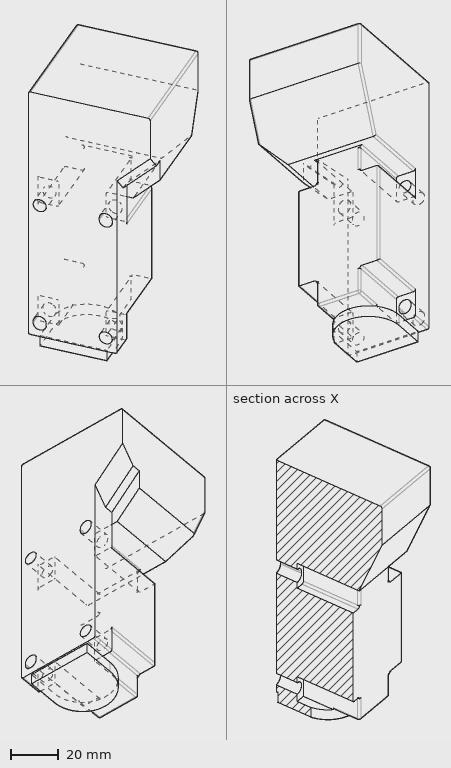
import cadquery as cq
import math

height = 128.0
head_size = 55.0
edge_radius = 1.0

shank_size = 40.0
shank_bottom = 5.2
shank_join = 89.6

head_bottom = 78.0
head_lip = 43.0
back_slope_top = 107.8
overhang = head_size - shank_size

flange_thickness = 11.0
recess_depth = 9.3
recess_height = 12.8

front_slope_top = 107.8
bevel_drop = 8.0
bevel_depth = 6.9

hole_diameter = 5.9
slot_length = 6.8
hole_inset = 5.1
hole_low = 12.0
hole_high = 71.5

boss_radius = 15.1
boss_front = 0.8


def make_head():
    """Square block with a flat lip and a sloped face under its back."""
    profile = [
        (0, height),
        (head_size, height),
        (head_size, back_slope_top),
        (head_lip, head_bottom),
        (0, head_bottom),
    ]
    block = cq.Workplane("YZ").polyline(profile).close().extrude(head_size)
    top_back_edge = cq.selectors.NearestToPointSelector((head_size / 2, head_size, height))
    softened = block.faces("<X or >X").edges("not <Y").add(block.edges(top_back_edge))
    return softened.fillet(edge_radius)


def make_overhang_cut():
    """Prism that runs up at 45 degrees and shapes the right underside of the head."""
    slope_start = front_slope_top - overhang
    bevel_end = slope_start - bevel_drop
    underside = head_bottom - (head_lip - shank_size)
    lowest = head_bottom - 2 * overhang
    section = [
        (0, slope_start),
        (bevel_depth, bevel_end),
        (flange_thickness, bevel_end),
        (flange_thickness, underside),
        (head_size, underside),
        (head_size, lowest),
        (0, lowest),
    ]
    corners = [cq.Vector(shank_size, y, z) for y, z in section]
    wire = cq.Wire.makePolygon(corners, close=True)
    prism = cq.Solid.extrudeLinear(wire, [], cq.Vector(overhang, 0, overhang))
    return cq.Workplane(obj=prism)


def make_shank():
    """Square column, softened along its back corners and its lower side edges."""
    column_height = shank_join - shank_bottom
    column = cq.Workplane("XY", origin=(0, 0, shank_bottom))
    column = column.box(shank_size, shank_size, column_height, centered=False)
    return column.edges("(|Z and >Y) or (|Y and <Z)").fillet(edge_radius)


def make_recess(bottom, top):
    """Cutter for a left-hand recess: rounded mouth edges, floor corners and rear floor edge."""
    r = edge_radius
    s = r * math.sqrt(0.5)
    floor = recess_depth
    recess = (
        cq.Workplane("XZ", origin=(0, flange_thickness, 0))
        .moveTo(0, bottom - r)
        .threePointArc((r - s, bottom - r + s), (r, bottom))
        .lineTo(floor - r, bottom)
        .threePointArc((floor - r + s, bottom + r - s), (floor, bottom + r))
        .lineTo(floor, top - r)
        .threePointArc((floor - r + s, top - r + s), (floor - r, top))
        .lineTo(r, top)
        .threePointArc((r - s, top + r - s), (0, top + r))
        .close()
        .extrude(flange_thickness - shank_size)
    )
    rear_edge_rounding = (
        cq.Workplane("XY", origin=(0, 0, bottom + r))
        .moveTo(floor, shank_size)
        .lineTo(floor + r, shank_size)
        .threePointArc((floor + r - s, shank_size - r + s), (floor, shank_size - r))
        .close()
        .extrude(top - bottom - 2 * r)
    )
    return recess.union(rear_edge_rounding)


def cut_recesses(column):
    """Cut a pair of recesses under the head and a pair open at the bottom, then round the bottom edge."""
    open_bottom = shank_bottom - 2 * edge_radius
    for bottom, top in (
        (open_bottom, shank_bottom + recess_height),
        (head_bottom - recess_height, head_bottom),
    ):
        left = make_recess(bottom, top)
        right = left.mirror("YZ").translate((shank_size, 0, 0))
        column = column.cut(left).cut(right)
    rear_bottom_edge = cq.selectors.NearestToPointSelector((shank_size / 2, shank_size, shank_bottom))
    return column.edges(rear_bottom_edge).fillet(edge_radius)


def make_boss_prism(prism_height):
    center_x = shank_size / 2
    center_y = boss_front + boss_radius
    left = center_x - boss_radius
    right = center_x + boss_radius
    return (
        cq.Workplane("XY")
        .moveTo(left, boss_front)
        .lineTo(right, boss_front)
        .lineTo(right, center_y)
        .threePointArc((center_x, center_y + boss_radius), (left, center_y))
        .close()
        .extrude(prism_height)
    )


def make_boss():
    """Boss with a core that fills the rounded floor edges of the low recesses where it crosses them."""
    core_width = shank_size - 2 * recess_depth
    core_height = shank_bottom + edge_radius
    core_space = (
        cq.Workplane("XY", origin=(recess_depth, 0, 0))
        .box(core_width, shank_size, core_height, centered=False)
    )
    core = make_boss_prism(core_height).intersect(core_space)
    return make_boss_prism(shank_bottom).union(core)


def make_hole(x, z, length):
    """Cutter along y; a length beyond the diameter makes an upright slot."""
    plane = cq.Workplane("XZ").center(x, z)
    if length > hole_diameter:
        outline = plane.slot2D(length, hole_diameter, 90)
    else:
        outline = plane.circle(hole_diameter / 2)
    return outline.extrude(-head_size)


head = make_head().cut(make_overhang_cut())
shank = cut_recesses(make_shank())
result = head.union(shank).union(make_boss())

right_hole_x = shank_size - hole_inset
for x, z, length in (
    (hole_inset, hole_high, hole_diameter),
    (right_hole_x, hole_high, slot_length),
    (hole_inset, hole_low, slot_length),
    (right_hole_x, hole_low, hole_diameter),
):
    result = result.cut(make_hole(x, z, length))